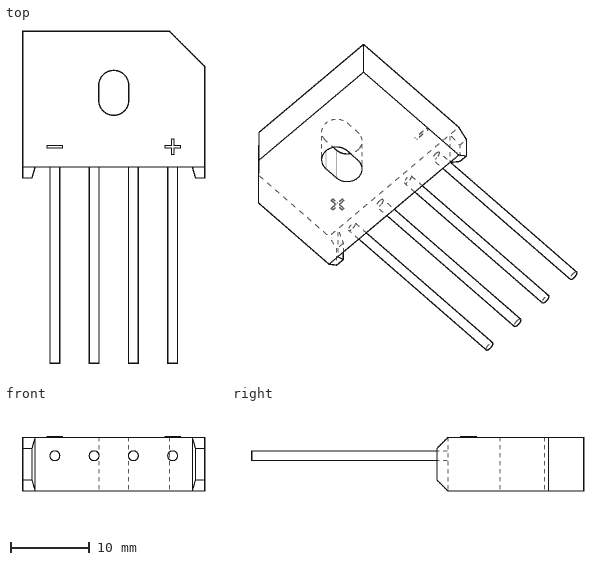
import cadquery as cq

body_width = 23.2
body_depth = 17.3
body_height = 6.85
corner_chamfer = 4.5

slot_width = 3.8
slot_length = 5.7
slot_back_distance = 7.85

lug_length = 1.4
lug_root_width = 1.6
lug_tip_width = 1.2
lug_chamfer = lug_length

lead_count = 4
lead_pitch = 5.0
lead_diameter = 1.25
lead_length = 25.0
lead_embed = 1.0
lead_top_distance = 2.35
lead_height = body_height - lead_top_distance

mark_height = 0.1
mark_length = 2.0
mark_stroke = 0.3
mark_x = (lead_count - 1) * lead_pitch / 2
mark_y = 2.6

half_width = body_width / 2


def make_body():
    """Block with one bevelled back corner and a mounting slot."""
    block = (
        cq.Workplane("XY")
        .moveTo(-half_width, 0)
        .lineTo(half_width, 0)
        .lineTo(half_width, body_depth - corner_chamfer)
        .lineTo(half_width - corner_chamfer, body_depth)
        .lineTo(-half_width, body_depth)
        .close()
        .extrude(body_height)
    )
    slot = (
        cq.Workplane("XY")
        .center(0, body_depth - slot_back_distance)
        .slot2D(slot_length, slot_width, 90)
        .extrude(body_height)
    )
    return block.cut(slot)


def make_lug(side):
    """Lug at one side (-1 or +1), tapered on its inner face and bevelled above and below."""
    lug = (
        cq.Workplane("XY")
        .moveTo(side * half_width, 0)
        .lineTo(side * half_width, -lug_length)
        .lineTo(side * (half_width - lug_tip_width), -lug_length)
        .lineTo(side * (half_width - lug_root_width), 0)
        .close()
        .extrude(body_height)
    )
    side_profile = (
        cq.Workplane("YZ")
        .moveTo(0, 0)
        .lineTo(-lug_length, lug_chamfer)
        .lineTo(-lug_length, body_height - lug_chamfer)
        .lineTo(0, body_height)
        .close()
        .extrude(half_width, both=True)
    )
    return lug.intersect(side_profile)


def make_leads():
    """Row of straight leads, with their inner ends set into the body."""
    return (
        cq.Workplane("XZ", origin=(0, lead_embed, lead_height))
        .rarray(lead_pitch, 1, lead_count, 1)
        .circle(lead_diameter / 2)
        .extrude(lead_embed + lead_length)
    )


def make_bar(x, size_x, size_y):
    """Raised bar on the top face, one stroke of a polarity mark."""
    return (
        cq.Workplane("XY", origin=(x, mark_y, body_height))
        .rect(size_x, size_y)
        .extrude(mark_height)
    )


result = make_body().union(make_leads())
for side in (-1, 1):
    result = result.union(make_lug(side))
    result = result.union(make_bar(side * mark_x, mark_length, mark_stroke))
result = result.union(make_bar(mark_x, mark_stroke, mark_length))